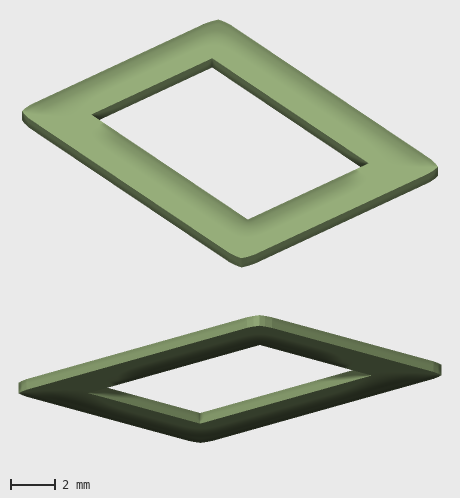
import cadquery as cq

length = 15.78
width = 11.84
thickness = 0.5

border = 2.37
window_length = length - 2 * border
window_width = width - 2 * border

corner_reach = 0.8
shoulder_reach = 0.43
shoulder_depth = 0.06
diagonal_setback = 0.15

corner_setbacks = [
    (corner_reach, 0),
    (shoulder_reach, shoulder_depth),
    (diagonal_setback, diagonal_setback),
    (shoulder_depth, shoulder_reach),
    (0, corner_reach),
]


def corner_points(side_x, side_y):
    """Facet vertices of the corner in the quadrant given by the two signs, long side first."""
    return [
        (side_x * (length / 2 - setback_x), side_y * (width / 2 - setback_y))
        for setback_x, setback_y in corner_setbacks
    ]


def frame_outline():
    """Closed outer outline, clockwise from the +X +Y corner."""
    outline = []
    for side_x, side_y in [(1, 1), (1, -1), (-1, -1), (-1, 1)]:
        points = corner_points(side_x, side_y)
        if side_x != side_y:
            points.reverse()
        outline += points
    return outline


def plate():
    """Solid plate with faceted corners, resting on Z = 0."""
    return cq.Workplane("XY").polyline(frame_outline()).close().extrude(thickness)


def window():
    """Block that cuts the sharp-cornered window through the plate."""
    return cq.Workplane("XY").rect(window_length, window_width).extrude(thickness)


result = plate().cut(window())